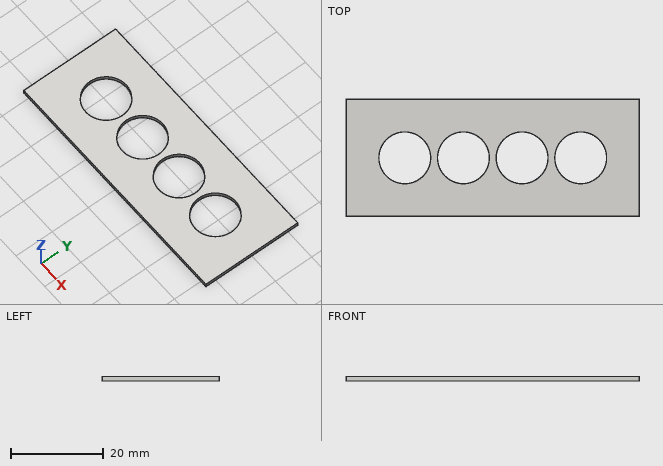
import cadquery as cq

length = 63.5
width = 25.4
thickness = 1.0

hole_count = 4
hole_diameter = 11.2
hole_pitch = 12.7

plate = cq.Workplane("XY").box(length, width, thickness)

result = (
    plate.faces(">Z")
    .workplane()
    .rarray(hole_pitch, 0.65, hole_count, 1)
    .hole(hole_diameter)
)